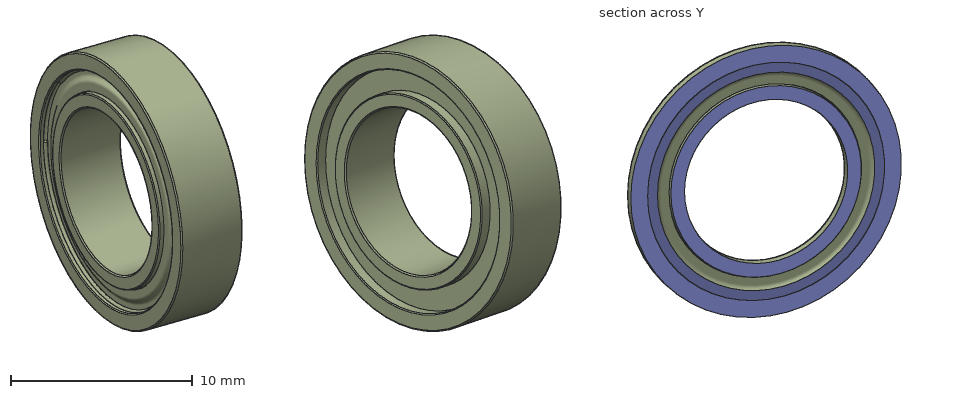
import cadquery as cq
import math

width = 3.97
outer_radius = 7.94
bore_radius = 4.76
edge_chamfer = 0.08

recess_outer_radius = 6.92
recess_inner_radius = 5.59
lip_chamfer = 0.06

shield_inner_radius = 5.64
raised_edge_radius = 6.11
flange_edge_radius = 6.57
bend_radius = 0.25
bend_angle = math.radians(45)
shield_thickness = 0.16
raised_depth = 0.29

wire_radius = 0.13
wire_center_radius = 6.92
gap_start = 140.5
gap_end = 180.0

bend_span = bend_radius * math.sin(bend_angle)
bend_drop = bend_radius * (1 - math.cos(bend_angle))
slope_span = flange_edge_radius - raised_edge_radius - 2 * bend_span
joggle_drop = 2 * bend_drop + slope_span * math.tan(bend_angle)
flange_depth = raised_depth + joggle_drop
recess_depth = flange_depth + shield_thickness
wire_depth = flange_depth - wire_radius


def revolve_about_y(profile, angle=360):
    """Turn a closed profile (X = radius, Y = depth) about the Y axis."""
    return profile.close().revolve(angle, (0, 0, 0), (0, 1, 0))


def make_front_recess():
    """Ring-shaped cutter with flared edges where it meets the front face."""
    profile = (
        cq.Workplane("XY")
        .moveTo(recess_inner_radius - lip_chamfer, 0)
        .lineTo(recess_outer_radius + lip_chamfer, 0)
        .lineTo(recess_outer_radius, lip_chamfer)
        .lineTo(recess_outer_radius, recess_depth)
        .lineTo(recess_inner_radius, recess_depth)
        .lineTo(recess_inner_radius, lip_chamfer)
    )
    return revolve_about_y(profile)


def make_wire_path(angle):
    """Round wire swept about the Y axis through the given angle."""
    section = cq.Workplane("XY").center(wire_center_radius, wire_depth).circle(wire_radius)
    return section.revolve(angle, (-wire_center_radius, 0, 0), (-wire_center_radius, 1, 0))


def make_races():
    """Inner and outer races joined by a web, with a recess on each side."""
    blank = (
        cq.Workplane("XZ")
        .circle(outer_radius)
        .circle(bore_radius)
        .extrude(-width)
        .faces("<Y or >Y")
        .edges()
        .chamfer(edge_chamfer)
    )
    front_recess = make_front_recess()
    back_recess = front_recess.mirror("XZ").translate((0, width, 0))
    return blank.cut(front_recess).cut(back_recess).cut(make_wire_path(360))


def bend_midpoint(edge_radius, edge_depth, direction):
    """Middle of a bend; direction is +1 from the raised flange, -1 from the outer flange."""
    half_angle = bend_angle / 2
    radius = edge_radius + direction * bend_radius * math.sin(half_angle)
    depth = edge_depth + direction * bend_radius * (1 - math.cos(half_angle))
    return radius, depth


def make_shield():
    """Pressed ring whose back follows its front at a constant axial thickness."""
    raised_slope_radius = raised_edge_radius + bend_span
    flange_slope_radius = flange_edge_radius - bend_span
    raised_back = raised_depth + shield_thickness
    flange_back = flange_depth + shield_thickness
    profile = (
        cq.Workplane("XY")
        .moveTo(shield_inner_radius, raised_depth)
        .lineTo(raised_edge_radius, raised_depth)
        .threePointArc(
            bend_midpoint(raised_edge_radius, raised_depth, 1),
            (raised_slope_radius, raised_depth + bend_drop),
        )
        .lineTo(flange_slope_radius, flange_depth - bend_drop)
        .threePointArc(
            bend_midpoint(flange_edge_radius, flange_depth, -1),
            (flange_edge_radius, flange_depth),
        )
        .lineTo(recess_outer_radius, flange_depth)
        .lineTo(recess_outer_radius, flange_back)
        .lineTo(flange_edge_radius, flange_back)
        .threePointArc(
            bend_midpoint(flange_edge_radius, flange_back, -1),
            (flange_slope_radius, flange_back - bend_drop),
        )
        .lineTo(raised_slope_radius, raised_back + bend_drop)
        .threePointArc(
            bend_midpoint(raised_edge_radius, raised_back, 1),
            (raised_edge_radius, raised_back),
        )
        .lineTo(shield_inner_radius, raised_back)
    )
    return revolve_about_y(profile)


def make_snap_wire():
    """Wire ring with a gap; angles run from +X toward +Z."""
    sweep = 360 - (gap_end - gap_start)
    return make_wire_path(sweep).rotate((0, 0, 0), (0, 1, 0), -gap_start)


races = make_races()
shield = make_shield()
snap_wire = make_snap_wire()

result = cq.Compound.makeCompound([races.val(), shield.val(), snap_wire.val()])